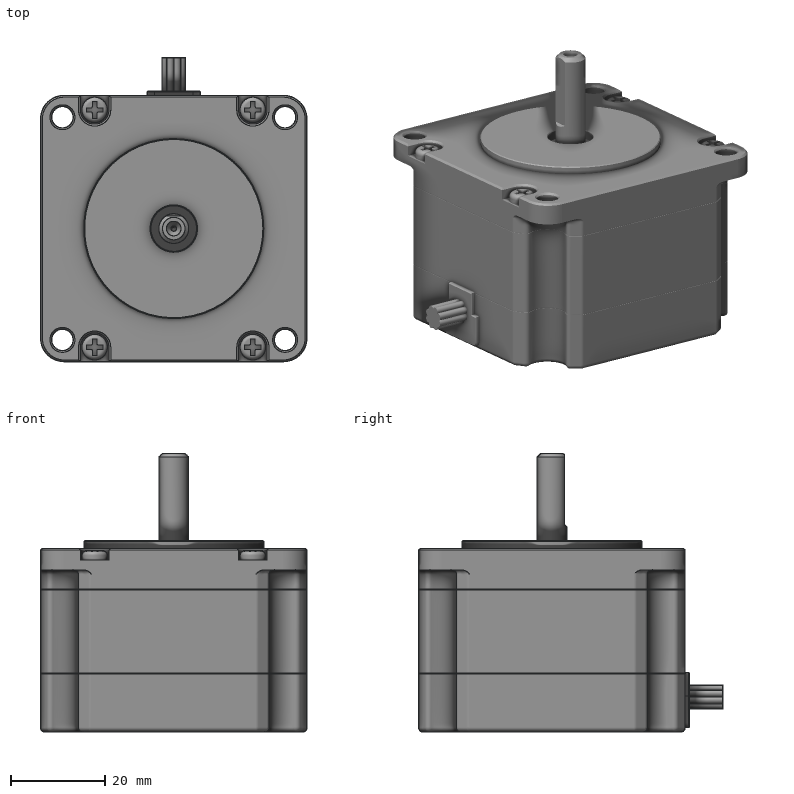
import cadquery as cq
import math


BODY_WIDTH = 56.4
TOTAL_HEIGHT = 59.0
TOTAL_DEPTH = 64.4
HALF = BODY_WIDTH / 2

LOWER_SEAM_Z = 12.4
UPPER_SEAM_Z = 30.2
FLANGE_BOTTOM_Z = 34.3
FLANGE_TOP_Z = 38.9
BOSS_TOP_Z = 40.5

FLANGE_CORNER_RADIUS = 5.0
FLANGE_CHAMFER = 0.4
BOTTOM_FILLET = 0.9
SEAM_WIDTH = 0.2
SEAM_DEPTH = 0.095

HOLE_OFFSET = 23.6
HOLE_RADIUS = 2.25
HOLE_CHAMFER = 0.4
RELIEF_RADIUS = 4.0
RELIEF_EDGE_RADIUS = 0.95
RELIEF_CEILING_FILLET = 0.9
RELIEF_FLANK_ANGLE = math.radians(35)
RELIEF_LIP_ANGLE = math.radians(29)
CUT_MARGIN = 3.85

BOSS_RADIUS = 19.05
BOSS_CHAMFER = 0.2
BOSS_RECESS_RADIUS = 4.8
BOSS_RECESS_DEPTH = 2.0
BOSS_RECESS_FLOOR_Z = BOSS_TOP_Z - BOSS_RECESS_DEPTH

SHAFT_RADIUS = 3.15
SHAFT_CHAMFER = 0.8
FLAT_DISTANCE = 2.7
FLAT_START_Z = 43.85
CENTER_HOLE_RADIUS = 1.55
CENTER_PILOT_RADIUS = 0.6
CENTER_CONE_DEPTH = (CENTER_HOLE_RADIUS - CENTER_PILOT_RADIUS) * math.sqrt(3)
CENTER_PILOT_DEPTH = 1.3

SCREW_X = 16.75
SCREW_Y = 25.1
POCKET_FLOOR_Z = 36.4
POCKET_RADIUS = 3.0
SCREW_RADIUS = 2.7
SCREW_HEIGHT = 1.9
SCREW_FILLET = 0.95
CROSS_LENGTH = 3.55
CROSS_WIDTH = 0.9
CROSS_CORE = 1.6
CROSS_DEPTH = 0.95

PLATE_THICKNESS = 0.9
PLATE_WIDTH = 11.3
PLATE_BOTTOM_Z = 0.9
PLATE_STEP_Z = 7.65
PLATE_CORNER_RADIUS = 0.95
PLATE_EDGE_CHAMFER = 0.2
TAB_WIDTH = 8.1
TAB_TOP_Z = 12.6
WIRE_COUNT = 8
WIRE_RADIUS = 0.8
WIRE_RING_RADIUS = 1.85
CABLE_CORE_RADIUS = 1.75
CABLE_Z = 7.4
CABLE_END_Y = TOTAL_DEPTH - HALF


def move_along(point, distance, angle):
    """Point reached from `point` by going `distance` in direction `angle`."""
    return (point[0] + distance * math.cos(angle), point[1] + distance * math.sin(angle))


def swapped(point):
    """Mirror image across the x = y diagonal."""
    return (point[1], point[0])


def turned(shape, degrees):
    """Shape rotated about the Z axis."""
    return shape.rotate((0, 0, 0), (0, 0, 1), degrees)


def corner_relief():
    """Cutter for the +X +Y corner: a scallop around the hole axis, two slanted flanks, rounded edges."""
    radius = RELIEF_EDGE_RADIUS
    hole = (HOLE_OFFSET, HOLE_OFFSET)
    flank_normal = math.pi / 2 - RELIEF_FLANK_ANGLE

    lip_center = move_along(hole, RELIEF_RADIUS + radius, math.pi - RELIEF_LIP_ANGLE)
    lip_scallop = move_along(lip_center, radius, -RELIEF_LIP_ANGLE)
    lip_middle = move_along(lip_center, radius, (flank_normal - RELIEF_LIP_ANGLE) / 2)
    lip_flank = move_along(lip_center, radius, flank_normal)

    flank_length = (HALF - radius - lip_center[1]) / math.sin(RELIEF_FLANK_ANGLE)
    edge_center = move_along(lip_center, flank_length, math.pi - RELIEF_FLANK_ANGLE)
    edge_flank = move_along(edge_center, radius, flank_normal)
    edge_middle = move_along(edge_center, radius, (flank_normal + math.pi / 2) / 2)
    edge_face = (edge_center[0], HALF)

    scallop_middle = move_along(hole, RELIEF_RADIUS, 5 * math.pi / 4)
    outside = HALF + CUT_MARGIN
    cutter = (
        cq.Workplane("XY", origin=(0, 0, -CUT_MARGIN))
        .moveTo(*edge_face)
        .threePointArc(edge_middle, edge_flank)
        .lineTo(*lip_flank)
        .threePointArc(lip_middle, lip_scallop)
        .threePointArc(scallop_middle, swapped(lip_scallop))
        .threePointArc(swapped(lip_middle), swapped(lip_flank))
        .lineTo(*swapped(edge_flank))
        .threePointArc(swapped(edge_middle), swapped(edge_face))
        .lineTo(outside, edge_face[0])
        .lineTo(outside, outside)
        .lineTo(edge_face[0], outside)
        .close()
        .extrude(FLANGE_BOTTOM_Z + CUT_MARGIN)
    )
    inside_body = cq.selectors.BoxSelector((0, 0, 0), (HALF, HALF, FLANGE_TOP_Z))
    return cutter.edges(">Z").edges(inside_body).fillet(RELIEF_CEILING_FILLET)


def seam_groove(outline, z):
    """Shallow groove that follows the body outline at height z."""
    bottom = z - SEAM_WIDTH / 2
    core = cq.Workplane(outline).toPending().offset2D(-SEAM_DEPTH).extrude(SEAM_WIDTH)
    slab = cq.Workplane("XY", origin=(0, 0, bottom)).rect(2 * BODY_WIDTH, 2 * BODY_WIDTH).extrude(SEAM_WIDTH)
    return slab.cut(core.translate((0, 0, bottom)))


def screw_pocket():
    """Pocket around the origin, open towards +Y, with its floor at z = 0 and a chamfered rim."""
    depth = FLANGE_TOP_Z - POCKET_FLOOR_Z
    length = HALF - SCREW_Y + CUT_MARGIN

    def slot(radius):
        return (
            cq.Workplane("XY")
            .moveTo(-radius, length)
            .lineTo(-radius, 0)
            .threePointArc((0, -radius), (radius, 0))
            .lineTo(radius, length)
            .close()
        )

    rim = slot(POCKET_RADIUS + FLANGE_CHAMFER).extrude(-FLANGE_CHAMFER, taper=45)
    return slot(POCKET_RADIUS).extrude(depth).union(rim.translate((0, 0, depth)))


def screw():
    """Pan head screw standing at the origin, with a cross recess."""
    head = cq.Workplane("XY").circle(SCREW_RADIUS).extrude(SCREW_HEIGHT)
    head = head.faces(">Z").edges().fillet(SCREW_FILLET)
    cross_plane = cq.Workplane("XY", origin=(0, 0, SCREW_HEIGHT - CROSS_DEPTH))
    cross = cross_plane.rect(CROSS_LENGTH, CROSS_WIDTH).extrude(SCREW_HEIGHT)
    cross = cross.union(cross_plane.rect(CROSS_WIDTH, CROSS_LENGTH).extrude(SCREW_HEIGHT))
    core = cross_plane.rect(CROSS_CORE, CROSS_CORE).extrude(SCREW_HEIGHT)
    core = turned(core, 45)
    return head.cut(cross.union(core))


def motor_body():
    """Square body with flange, corner reliefs, seams and mounting holes."""
    body = cq.Workplane("XY").rect(BODY_WIDTH, BODY_WIDTH).extrude(FLANGE_TOP_Z)
    body = body.edges("|Z").fillet(FLANGE_CORNER_RADIUS)
    body = body.faces(">Z").edges().chamfer(FLANGE_CHAMFER)

    relief = corner_relief()
    for turn in range(4):
        body = body.cut(turned(relief, 90 * turn))

    outline = body.faces("<Z").wires().val()
    grooves = [seam_groove(outline, z) for z in (LOWER_SEAM_Z, UPPER_SEAM_Z)]
    body = body.faces("<Z").edges().fillet(BOTTOM_FILLET)
    for groove in grooves:
        body = body.cut(groove)

    return (
        body.faces(">Z")
        .workplane(origin=(0, 0, FLANGE_TOP_Z))
        .rect(2 * HOLE_OFFSET, 2 * HOLE_OFFSET, forConstruction=True)
        .vertices()
        .cskHole(2 * HOLE_RADIUS, 2 * (HOLE_RADIUS + HOLE_CHAMFER), 90)
    )


def pilot_boss():
    """Round boss on the flange."""
    plane = cq.Workplane("XY", origin=(0, 0, FLANGE_TOP_Z))
    boss = plane.circle(BOSS_RADIUS).extrude(BOSS_TOP_Z - FLANGE_TOP_Z)
    return boss.faces(">Z").edges().chamfer(BOSS_CHAMFER)


def shaft_recess():
    """Cutter for the chamfered recess around the shaft."""
    bore_plane = cq.Workplane("XY", origin=(0, 0, BOSS_RECESS_FLOOR_Z))
    bore = bore_plane.circle(BOSS_RECESS_RADIUS).extrude(BOSS_RECESS_DEPTH)
    rim_plane = cq.Workplane("XY", origin=(0, 0, BOSS_TOP_Z))
    rim = rim_plane.circle(BOSS_RECESS_RADIUS + BOSS_CHAMFER).extrude(-BOSS_CHAMFER, taper=45)
    return bore.union(rim)


def shaft():
    """Output shaft with a flat on its +Y side and a lathe centre in its end."""
    rod_plane = cq.Workplane("XY", origin=(0, 0, BOSS_RECESS_FLOOR_Z))
    rod = rod_plane.circle(SHAFT_RADIUS).extrude(TOTAL_HEIGHT - BOSS_RECESS_FLOOR_Z)
    rod = rod.faces(">Z").edges().chamfer(SHAFT_CHAMFER)

    run_out = SHAFT_RADIUS - FLAT_DISTANCE
    flat = (
        cq.Workplane("YZ")
        .moveTo(FLAT_DISTANCE, TOTAL_HEIGHT)
        .lineTo(FLAT_DISTANCE, FLAT_START_Z)
        .lineTo(SHAFT_RADIUS, FLAT_START_Z - run_out)
        .lineTo(SHAFT_RADIUS, TOTAL_HEIGHT)
        .close()
        .extrude(SHAFT_RADIUS, both=True)
    )

    cone_end_z = TOTAL_HEIGHT - CENTER_CONE_DEPTH
    pilot_end_z = cone_end_z - CENTER_PILOT_DEPTH
    center_hole = (
        cq.Workplane("XZ")
        .moveTo(0, TOTAL_HEIGHT)
        .lineTo(CENTER_HOLE_RADIUS, TOTAL_HEIGHT)
        .lineTo(CENTER_PILOT_RADIUS, cone_end_z)
        .lineTo(CENTER_PILOT_RADIUS, pilot_end_z)
        .lineTo(0, pilot_end_z - CENTER_PILOT_RADIUS)
        .close()
        .revolve(360, (0, 0, 0), (0, 1, 0))
    )
    return rod.cut(flat).cut(center_hole)


def cable_plate():
    """Stepped plate on the +Y face that the cable passes through."""
    base = (
        cq.Workplane("XY")
        .box(PLATE_WIDTH, PLATE_THICKNESS, PLATE_STEP_Z - PLATE_BOTTOM_Z, centered=(True, False, False))
        .edges("|Y and <Z")
        .fillet(PLATE_CORNER_RADIUS)
    )
    tab = cq.Workplane("XY").box(
        TAB_WIDTH, PLATE_THICKNESS, TAB_TOP_Z - PLATE_BOTTOM_Z, centered=(True, False, False)
    )
    plate = base.union(tab).faces(">Y").edges().chamfer(PLATE_EDGE_CHAMFER)
    return plate.translate((0, HALF, PLATE_BOTTOM_Z))


def cable():
    """Ring of wires around a core, running out along +Y."""
    length = CABLE_END_Y - HALF
    plane = cq.Workplane("XZ", origin=(0, HALF, CABLE_Z))
    bundle = plane.circle(CABLE_CORE_RADIUS).extrude(-length)
    for index in range(WIRE_COUNT):
        angle = 2 * math.pi * (index + 0.5) / WIRE_COUNT
        center = move_along((0, 0), WIRE_RING_RADIUS, angle)
        bundle = bundle.union(plane.moveTo(*center).circle(WIRE_RADIUS).extrude(-length))
    return bundle


result = motor_body()

pocket = screw_pocket()
cover_screw = screw()
for x in (-SCREW_X, SCREW_X):
    for y, side_angle in ((SCREW_Y, 0), (-SCREW_Y, 180)):
        seat = (x, y, POCKET_FLOOR_Z)
        result = result.cut(turned(pocket, side_angle).translate(seat))
        result = result.union(cover_screw.translate(seat))

result = result.union(pilot_boss()).cut(shaft_recess())
for feature in (shaft(), cable_plate(), cable()):
    result = result.union(feature)